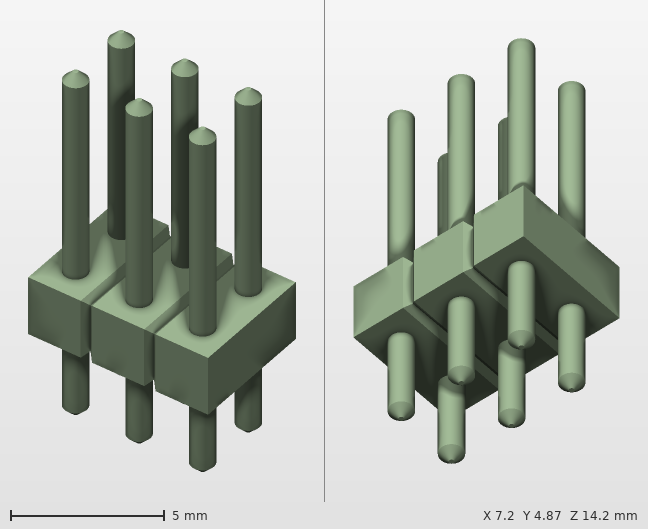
import cadquery as cq

columns = 3
rows = 2
pitch = 2.55

housing_length = 7.2
housing_width = 4.87
housing_height = 2.36
groove_depth = 0.23

pin_length = 14.21
pin_diameter = 0.9
pin_tail = 3.55
tip_chamfer = 0.35

pin_positions = [
    ((column - (columns - 1) / 2) * pitch, (row - (rows - 1) / 2) * pitch)
    for column in range(columns)
    for row in range(rows)
]
break_planes = [(column - columns / 2) * pitch for column in range(1, columns)]


def make_segment(x_start, x_end):
    """Housing block for one pin column, bevelled at each end that lies on a break-off plane."""
    segment = (
        cq.Workplane("XY", origin=((x_start + x_end) / 2, 0, 0))
        .box(x_end - x_start, housing_width, housing_height, centered=(True, True, False))
    )
    if x_start in break_planes:
        segment = segment.faces("<X").chamfer(groove_depth)
    if x_end in break_planes:
        segment = segment.faces(">X").chamfer(groove_depth)
    return segment


def make_housing():
    """Row of joined segments with V grooves between them and a through hole for each pin."""
    ends = [-housing_length / 2, *break_planes, housing_length / 2]
    housing = make_segment(ends[0], ends[1])
    for x_start, x_end in zip(ends[1:-1], ends[2:]):
        housing = housing.union(make_segment(x_start, x_end))
    holes = (
        cq.Workplane("XY")
        .pushPoints(pin_positions)
        .circle(pin_diameter / 2)
        .extrude(housing_height)
    )
    return housing.cut(holes).solids()


def make_pin(x, y):
    """Round pin with a blunt cone at both ends."""
    return (
        cq.Workplane("XY", origin=(x, y, -pin_tail))
        .circle(pin_diameter / 2)
        .extrude(pin_length)
        .faces("<Z or >Z")
        .chamfer(tip_chamfer)
    )


housing = make_housing()
pins = [make_pin(x, y) for x, y in pin_positions]

result = cq.Compound.makeCompound([housing.val(), *[pin.val() for pin in pins]])